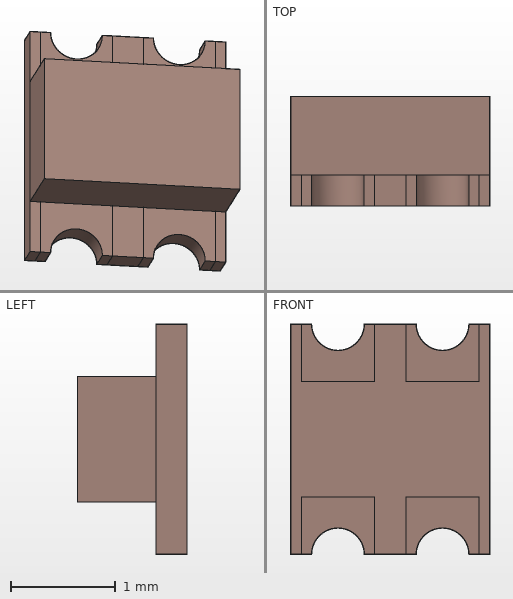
import cadquery as cq

board_height = 2.2
board_width = 1.9
board_thickness = 0.3
housing_height = 1.2
housing_depth = 0.75
terminal_width = 0.7
terminal_height = 0.55
terminal_gap = 0.3
notch_radius = 0.25

terminal_x = (terminal_gap + terminal_width) / 2
terminal_z = (board_height - terminal_height) / 2
terminal_places = [(x, z) for x in (-terminal_x, terminal_x) for z in (-terminal_z, terminal_z)]


def slab(width, depth, height, x=0.0, front_y=0.0, z=0.0):
    """Box centred on (x, z) that runs from front_y toward +Y."""
    return cq.Workplane("XY").box(width, depth, height).translate((x, front_y + depth / 2, z))


def make_terminal(x, z):
    """Terminal through the board thickness, with a half-round notch at the board edge."""
    block = slab(terminal_width, board_thickness, terminal_height, x=x, z=z)
    edge_z = board_height / 2 if z > 0 else -board_height / 2
    notch = cq.Workplane("XZ").center(x, edge_z).circle(notch_radius).extrude(-board_thickness)
    return block.cut(notch)


def make_board():
    """Flat board with a rectangular recess for each terminal."""
    board = slab(board_width, board_thickness, board_height)
    for x, z in terminal_places:
        board = board.cut(slab(terminal_width, board_thickness, terminal_height, x=x, z=z))
    return board


def make_housing():
    """Plain block on the back of the board, as wide as the board."""
    return slab(board_width, housing_depth, housing_height, front_y=board_thickness)


board = make_board()
housing = make_housing()
terminals = [make_terminal(x, z) for x, z in terminal_places]

result = cq.Compound.makeCompound(
    [board.solids().val(), housing.val(), *[terminal.solids().val() for terminal in terminals]]
)